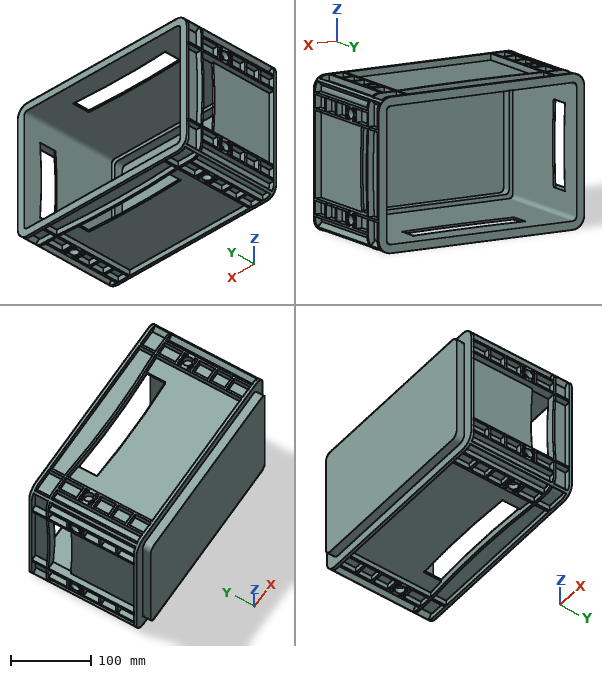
import cadquery as cq


length = 300.0
width = 200.0
total_height = 170.0
corner_radius = 17.5

base_height = 12.0
base_inset = 14.0
base_radius = 9.0
base_wall = 3.0

skin = 3.0
rib_depth = 8.5
rib = 3.0
rim = 4.2
wall_depth = rib_depth + skin
cavity_radius = corner_radius - wall_depth

outer_post = 20.5
inner_post = 40.8
post_gap = inner_post - outer_post - rib
post_centre = outer_post + rib + post_gap / 2
corner_rib = 4.2
corner_rib_reach = 15.0

band_start = 25.5
band_end = band_start + rib
cross_ribs = (55.2, 77.5, 102.5, 127.5)
socket_centre = (cross_ribs[0] + rib + cross_ribs[1]) / 2
socket_outer_radius = 9.0
socket_bore_radius = 6.5
socket_pad = 9.5
socket_spoke = rib

hole_height = 27.3
long_hole_half = 81.5
long_sag = 4.2
short_sag = 2.0

shell_start = base_height
open_end = total_height
shell_height = open_end - shell_start


def rounded_block(inset, radius, y_start, y_end):
    """Block along Y whose outline is the crate outline moved inwards."""
    block = cq.Workplane("XY").box(length - 2 * inset, y_end - y_start, width - 2 * inset)
    return block.translate((0, (y_start + y_end) / 2, 0)).edges("|Y").fillet(radius)


def wall_box(u_start, u_end, depth_start, depth_end, half_span):
    """Full-depth wall piece; the depths along Y are measured from the open end."""
    box = cq.Workplane("XY").box(u_end - u_start, depth_end - depth_start, wall_depth)
    centre_u = (u_start + u_end) / 2
    centre_y = open_end - (depth_start + depth_end) / 2
    return box.translate((centre_u, centre_y, half_span - wall_depth / 2))


def sagging_strip(wall_length, sag, depth_start, depth_end, half_span):
    """Strip across a wall, straight at the corners and sagging between the posts."""
    end = wall_length / 2
    bend = end - inner_post - rib
    top = open_end - depth_start
    bottom = open_end - depth_end
    return (
        cq.Workplane("XY", origin=(0, 0, half_span - wall_depth))
        .moveTo(-end, top)
        .lineTo(-bend, top)
        .threePointArc((0, top - sag), (bend, top))
        .lineTo(end, top)
        .lineTo(end, bottom)
        .lineTo(bend, bottom)
        .threePointArc((0, bottom - sag), (-bend, bottom))
        .lineTo(-end, bottom)
        .close()
        .extrude(wall_depth)
    )


def socket_cylinder(u, radius, half_span):
    origin = (u, open_end - socket_centre, half_span - wall_depth)
    return cq.Workplane("XY", origin=origin).circle(radius).extrude(wall_depth)


def socket_block(u, half_span):
    """Round socket with its pads and spokes, before boring."""
    post = post_gap / 2
    half_pad = socket_pad / 2
    half_spoke = socket_spoke / 2
    pads = wall_box(u - post, u + post, socket_centre - half_pad, socket_centre + half_pad, half_span)
    spokes = wall_box(u - half_spoke, u + half_spoke, cross_ribs[0], cross_ribs[1], half_span)
    return socket_cylinder(u, socket_outer_radius, half_span).union(pads).union(spokes)


def wall_ribs(wall_length, sag, half_span):
    """All ribs of the wall that faces +Z."""
    ribs = sagging_strip(wall_length, sag, band_start, band_end, half_span)
    for side in (-1, 1):
        edge = side * wall_length / 2
        outer = [edge - side * offset for offset in (outer_post, outer_post + rib)]
        inner = [edge - side * offset for offset in (inner_post, inner_post + rib)]
        ribs = ribs.union(wall_box(min(outer), max(outer), band_start, shell_height, half_span))
        ribs = ribs.union(wall_box(min(inner), max(inner), 0, shell_height, half_span))
        for start in cross_ribs:
            left = min(outer + inner)
            right = max(outer + inner)
            ribs = ribs.union(wall_box(left, right, start, start + rib, half_span))
        socket_u = edge - side * post_centre
        ribs = ribs.union(socket_block(socket_u, half_span))
        ribs = ribs.cut(socket_cylinder(socket_u, socket_bore_radius, half_span))
    return ribs


def hand_hole(wall_length, sag, hole_half, half_span):
    """Hand hole through the wall that faces +Z."""
    hole_end = band_end + hole_height
    strip = sagging_strip(wall_length, sag, band_end, hole_end, half_span)
    return strip.intersect(wall_box(-hole_half, hole_half, 0, shell_height, half_span))


def turned(shape, angle):
    return shape.rotate((0, 0, 0), (0, 1, 0), angle)


def corner_ribs():
    """Diagonal ribs that carry the rounded corners between the rims."""
    ribs = cq.Workplane("XY")
    for side_x in (-1, 1):
        for side_z in (-1, 1):
            bar = cq.Workplane("XY").box(2 * corner_rib_reach, shell_height, corner_rib)
            bar = turned(bar, -45 * side_x * side_z)
            ribs = ribs.union(
                bar.translate(
                    (
                        side_x * (length / 2 - rib_depth),
                        shell_start + shell_height / 2,
                        side_z * (width / 2 - rib_depth),
                    )
                )
            )
    return ribs


crate = rounded_block(rib_depth, corner_radius - rib_depth, shell_start, open_end)
crate = crate.union(rounded_block(0, corner_radius, shell_start, shell_start + rim))
crate = crate.union(rounded_block(0, corner_radius, open_end - rim, open_end))

long_ribs = wall_ribs(length, long_sag, width / 2)
short_ribs = wall_ribs(width, short_sag, length / 2)
all_ribs = corner_ribs()
for angle in (0, 180):
    all_ribs = all_ribs.union(turned(long_ribs, angle))
    all_ribs = all_ribs.union(turned(short_ribs, angle + 90))
outline = rounded_block(0, corner_radius, shell_start, open_end)
crate = crate.union(all_ribs.intersect(outline))

crate = crate.union(rounded_block(base_inset, base_radius, 0, shell_start))

crate = crate.cut(rounded_block(wall_depth, cavity_radius, shell_start + rim, open_end))
crate = crate.cut(
    rounded_block(base_inset + base_wall, base_radius - base_wall, base_wall, shell_start + rim)
)

short_hole_half = width / 2 - inner_post - rib
long_hole = hand_hole(length, long_sag, long_hole_half, width / 2)
short_hole = hand_hole(width, short_sag, short_hole_half, length / 2)
for angle in (0, 180):
    crate = crate.cut(turned(long_hole, angle))
    crate = crate.cut(turned(short_hole, angle + 90))

result = crate